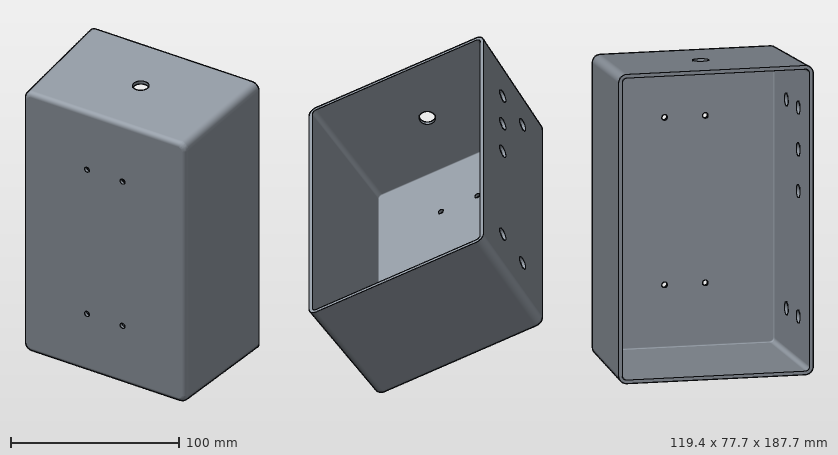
import cadquery as cq
import math

width = 119.4
depth = 77.7
height = 187.7
draft_angle = 2.0
wall = 2.3
corner_radius = 5.0
front_radius = 3.0

side_pitch = 25.3
mount_spacing_x = 25.0
mount_spacing_z = 101.5
mount_hole_diameter = 3.4
side_row_from_back = 24.8
side_hole_diameter = 7.9
top_hole_diameter = 9.8
top_hole_from_back = 37.4

back_y = depth / 2
front_y = -depth / 2


def tapered_block(block_width, block_height, block_depth, edge_radius, face_radius):
    """Drafted block running forward from the back plane, rounded at its sides and front."""
    block = (
        cq.Workplane("XZ", origin=(0, back_y, 0))
        .rect(block_width, block_height)
        .extrude(block_depth, taper=draft_angle)
    )
    block = block.edges("not(#Y)").fillet(edge_radius)
    return block.faces("<Y").edges().fillet(face_radius)


def hollow_box():
    opening_inset = 2 * wall / math.cos(math.radians(draft_angle))
    shell = tapered_block(width, height, depth, corner_radius, front_radius)
    cavity = tapered_block(
        width - opening_inset,
        height - opening_inset,
        depth - wall,
        corner_radius - wall,
        front_radius - wall,
    )
    return shell.cut(cavity)


def mounting_holes():
    """Four small holes through the front wall."""
    return (
        cq.Workplane("XZ", origin=(0, front_y, 0))
        .rect(mount_spacing_x, mount_spacing_z, forConstruction=True)
        .vertices()
        .circle(mount_hole_diameter / 2)
        .extrude(-depth / 2)
    )


def side_holes():
    """Two rows of holes through the -X wall."""
    back_row = [(back_y - side_row_from_back, level * side_pitch) for level in (2.5, 1.5, 0.5, -2.5)]
    front_row = [(back_y - side_row_from_back - side_pitch, level * side_pitch) for level in (2.5, -2.5)]
    return (
        cq.Workplane("YZ", origin=(-width / 2, 0, 0))
        .pushPoints(back_row + front_row)
        .circle(side_hole_diameter / 2)
        .extrude(width / 2)
    )


def top_hole():
    """Single hole through the +Z wall."""
    return (
        cq.Workplane("XY", origin=(0, back_y - top_hole_from_back, 0))
        .circle(top_hole_diameter / 2)
        .extrude(height / 2)
    )


result = hollow_box().cut(mounting_holes()).cut(side_holes()).cut(top_hole())